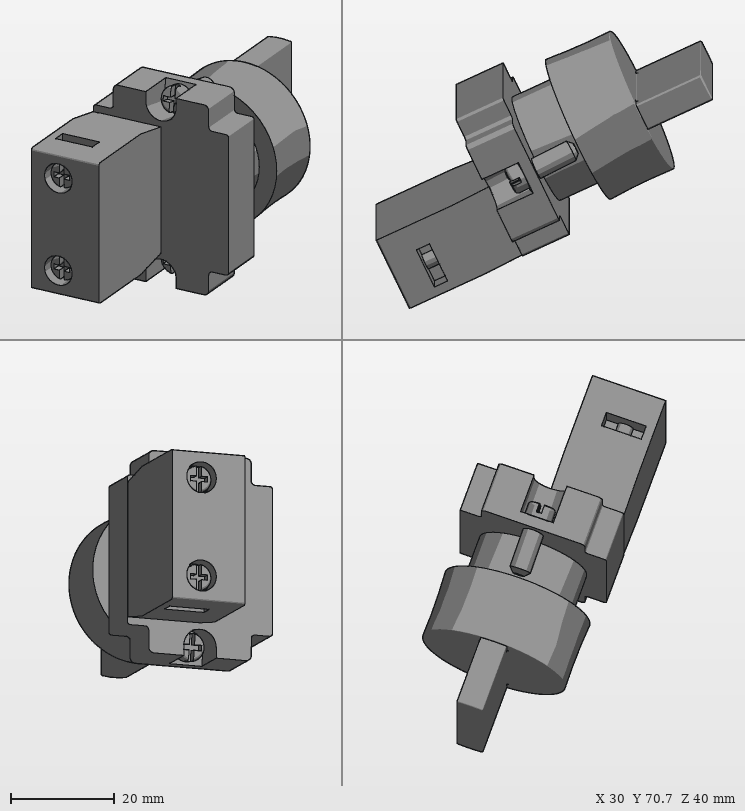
import cadquery as cq
import math


plate_width = 30.0
plate_body_height = 29.6
plate_height = 40.0
plate_thickness = 10.0
tab_width = 21.2
tab_corner_radius = 1.1
tab_root_radius = 0.8
plate_corner_radius = 0.6

collar_diameter = 22.0
collar_length = 9.0
knob_base_radius = 14.88
knob_waist_radius = 14.55
knob_waist_distance = 8.2
knob_front_radius = 14.65
knob_length = 13.6
knob_rim_fillet = 0.2
handle_thickness = 5.4
handle_end_radius = 14.5
handle_length = 13.9
handle_edge_fillet = 0.4
handle_root_radius = 0.35
handle_root_length = 23.0

block_width = plate_width / 2
block_length = 24.2
block_height = plate_body_height
block_root_height = 26.6
block_taper_length = 7.9
block_front_fillet = 0.6
parting_groove_width = 0.15
parting_groove_depth = 1.0

wire_slot_length = 8.15
wire_slot_width = 2.8
wire_slot_x = -9.1
wire_slot_y = -26.55

terminal_x = -9.0
terminal_z = 9.7
terminal_bore_radius = 3.05
terminal_bore_depth = 3.8
terminal_head_radius = 2.65
terminal_head_height = 2.5
terminal_shank_radius = 1.55
terminal_shank_length = 8.0
terminal_cross_length = 3.5

clamp_tilt = 10.0
clamp_seat_y = -2.8
clamp_seat_z = 16.7
clamp_bore_radius = 3.35
clamp_head_radius = 2.75
clamp_head_height = 2.8
clamp_shank_radius = 2.1
clamp_shank_length = 11.4
clamp_tip_chamfer = 1.0
clamp_cross_length = 4.05

head_fillet = 0.7
cross_width = 1.05
cross_depth = 1.75


def box(width, length, height, x, y, z):
    """Box centred on (x, y, z), sized along X, Y and Z."""
    return cq.Workplane("XY").box(width, length, height).translate((x, y, z))


def rod(radius, start_y, end_y):
    """Cylinder on the Y axis between two Y positions."""
    return cq.Workplane("XZ", origin=(0, end_y, 0)).circle(radius).extrude(end_y - start_y)


def mirrored_pair(shape):
    """The shape together with its mirror image below the XY plane."""
    return shape.union(shape.mirror("XY"))


def make_plate():
    """Plate with a narrower tab at the top and bottom, all corners rounded."""
    body = box(plate_width, plate_thickness, plate_body_height, 0, -plate_thickness / 2, 0)
    body = body.edges("|Y").fillet(plate_corner_radius)
    tabs = box(tab_width, plate_thickness, plate_height, 0, -plate_thickness / 2, 0)
    tabs = tabs.edges("|Y").fillet(tab_corner_radius)
    plate = body.union(tabs)
    reach = tab_root_radius
    root_edges = cq.selectors.BoxSelector(
        (-tab_width / 2 - reach, -plate_thickness, -plate_body_height / 2 - reach),
        (tab_width / 2 + reach, 0, plate_body_height / 2 + reach),
    )
    return plate.edges("|Y").edges(root_edges).fillet(tab_root_radius)


def make_knob():
    """Round knob with a slightly hollow side."""
    waist_y = collar_length + knob_waist_distance
    front_y = collar_length + knob_length
    return (
        cq.Workplane("XY")
        .moveTo(0, collar_length)
        .lineTo(knob_base_radius, collar_length)
        .threePointArc((knob_waist_radius, waist_y), (knob_front_radius, front_y))
        .lineTo(0, front_y)
        .close()
        .revolve(360, (0, 0, 0), (0, 1, 0))
        .faces(">Y")
        .edges()
        .fillet(knob_rim_fillet)
    )


def make_handle():
    """Flat grip whose two ends follow the round of the knob."""
    base_y = collar_length + knob_length
    bar = rod(handle_end_radius, base_y, base_y + handle_length)
    slab = box(
        handle_thickness, handle_length, 2 * handle_end_radius,
        0, base_y + handle_length / 2, 0,
    )
    grip = bar.intersect(slab)
    return grip.faces(">Y or <X or >X").edges("not <Y").fillet(handle_edge_fillet)


def make_handle_root():
    """Concave fillets between the flat sides of the handle and the knob face."""
    base_y = collar_length + knob_length
    side_x = handle_thickness / 2
    radius = handle_root_radius
    mid = radius * (1 - math.sqrt(0.5))
    fillet = (
        cq.Workplane("XY", origin=(0, 0, -handle_root_length / 2))
        .moveTo(side_x, base_y)
        .lineTo(side_x + radius, base_y)
        .threePointArc((side_x + mid, base_y + mid), (side_x, base_y + radius))
        .close()
        .extrude(handle_root_length)
    )
    return fillet.union(fillet.mirror("YZ"))


def make_block():
    """Contact block whose top and bottom taper in towards the plate."""
    root_y = -plate_thickness
    taper_y = root_y - block_taper_length
    front_y = root_y - block_length
    profile = [
        (root_y, block_root_height / 2),
        (taper_y, block_height / 2),
        (front_y, block_height / 2),
        (front_y, -block_height / 2),
        (taper_y, -block_height / 2),
        (root_y, -block_root_height / 2),
    ]
    block = cq.Workplane("YZ").polyline(profile).close().extrude(-block_width)
    return block.faces("<Y").edges("|X").fillet(block_front_fillet)


def make_parting_groove():
    """Narrow groove beside the plate, across the -X side of the block."""
    return box(
        parting_groove_depth, parting_groove_width, block_height,
        (parting_groove_depth - plate_width) / 2, -plate_thickness - parting_groove_width / 2, 0,
    )


def make_wire_slots():
    """Slots from the top and bottom of the block down to the terminal screw axes."""
    depth = block_height / 2 - terminal_z
    slot = box(
        wire_slot_length, wire_slot_width, depth,
        wire_slot_x, wire_slot_y, terminal_z + depth / 2,
    )
    return mirrored_pair(slot)


def make_screw(head_radius, head_height, shank_radius, shank_length, cross_length, tip_chamfer=0):
    """Cross-slotted screw on the Y axis: head towards -Y, seat at Y = 0, shank towards +Y."""
    head = rod(head_radius, -head_height, 0).faces("<Y").edges().fillet(head_fillet)
    cross_y = -head_height + cross_depth / 2
    head = head.cut(box(cross_width, cross_depth, 2 * head_radius, 0, cross_y, 0))
    head = head.cut(box(cross_length, cross_depth, cross_width, 0, cross_y, 0))
    shank = rod(shank_radius, 0, shank_length)
    if tip_chamfer:
        shank = shank.faces(">Y").chamfer(tip_chamfer)
    return head.union(shank)


def place_clamp(shape):
    """Tilt a shape from the Y axis onto the upper clamping screw axis and mirror it below."""
    placed = shape.rotate((0, 0, 0), (1, 0, 0), -clamp_tilt).translate((0, clamp_seat_y, clamp_seat_z))
    return mirrored_pair(placed)


def make_clamp_recesses():
    """Round-bottomed recesses, open to the front and to the tab ends."""
    bore = rod(clamp_bore_radius, -plate_thickness, 0)
    opening = box(
        2 * clamp_bore_radius, plate_thickness, plate_thickness,
        0, -plate_thickness / 2, plate_thickness / 2,
    )
    return place_clamp(bore.union(opening))


def make_clamp_screws():
    screw = make_screw(
        clamp_head_radius, clamp_head_height, clamp_shank_radius,
        clamp_shank_length, clamp_cross_length, clamp_tip_chamfer,
    )
    return place_clamp(screw)


def place_terminal(shape):
    """Move a shape from the Y axis to the seats of the two terminal screws."""
    seat_y = -plate_thickness - block_length + terminal_bore_depth
    return mirrored_pair(shape.translate((terminal_x, seat_y, terminal_z)))


def make_terminal_bores():
    return place_terminal(rod(terminal_bore_radius, -terminal_bore_depth, 0))


def make_terminal_screws():
    screw = make_screw(
        terminal_head_radius, terminal_head_height, terminal_shank_radius,
        terminal_shank_length, terminal_cross_length,
    )
    return place_terminal(screw)


plate = make_plate().cut(make_clamp_recesses())
block = make_block().cut(make_parting_groove()).cut(make_wire_slots()).cut(make_terminal_bores())
collar = rod(collar_diameter / 2, 0, collar_length)

result = (
    plate.union(block)
    .union(collar)
    .union(make_knob())
    .union(make_handle())
    .union(make_handle_root())
    .union(make_clamp_screws())
    .union(make_terminal_screws())
)